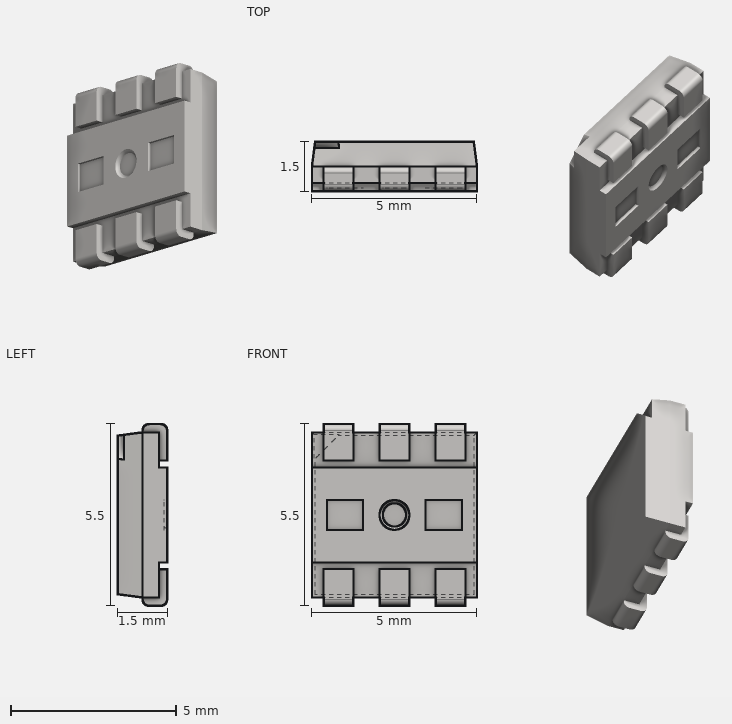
import cadquery as cq

body_size = 5.0
total_height = 5.5
total_depth = 1.5

base_depth = total_depth / 2
ledge_depth = 0.25
band_height = 2.88
recess_depth = 0.1

pocket_width = 1.1
pocket_height = 0.9
pocket_offset = 1.495
dimple_diameter = 0.9
dimple_floor_diameter = dimple_diameter - 2 * recess_depth

cover_depth = total_depth - base_depth
cover_inset = 0.1
corner_cut_leg = 0.9
corner_cut_depth = 0.2

lead_width = 0.9
lead_pitch = 1.695
leads_per_side = 3
lead_foot_height = 1.11
lead_bend_radius = 0.2

half_body = body_size / 2
half_height = total_height / 2


def box_on_face(width, height, depth, x=0, y=0, z=0):
    """Box centred on (x, z), reaching from y toward +Y."""
    return cq.Workplane("XY").box(width, depth, height).translate((x, y + depth / 2, z))


def make_base():
    base = box_on_face(body_size, body_size, base_depth - ledge_depth, y=ledge_depth)
    base = base.union(box_on_face(body_size, band_height, base_depth))
    for x in (-pocket_offset, pocket_offset):
        base = base.cut(box_on_face(pocket_width, pocket_height, recess_depth, x=x))
    dimple = cq.Solid.makeCone(
        dimple_diameter / 2,
        dimple_floor_diameter / 2,
        recess_depth,
        pnt=cq.Vector(0, 0, 0),
        dir=cq.Vector(0, 1, 0),
    )
    return base.cut(cq.Workplane(obj=dimple))


def make_cover():
    """Tapered block behind the base, with one corner cut off at its far end."""
    end_size = body_size - 2 * cover_inset
    cover = (
        cq.Workplane("XZ", origin=(0, base_depth, 0))
        .rect(body_size, body_size)
        .workplane(offset=-cover_depth)
        .rect(end_size, end_size)
        .loft(ruled=True)
    )
    corner_cut = (
        cq.Workplane("XZ", origin=(0, total_depth, 0))
        .moveTo(-half_body, half_body)
        .lineTo(-half_body + corner_cut_leg, half_body)
        .lineTo(-half_body, half_body - corner_cut_leg)
        .close()
        .extrude(corner_cut_depth)
    )
    return cover.cut(corner_cut)


def make_lead(x):
    """Upper lead: a foot on the ledge, bent back over the edge of the base."""
    foot_end = half_height - lead_foot_height
    lead = (
        cq.Workplane("YZ")
        .moveTo(0, foot_end)
        .lineTo(0, half_height)
        .lineTo(base_depth, half_height)
        .lineTo(base_depth, half_body)
        .lineTo(ledge_depth, half_body)
        .lineTo(ledge_depth, foot_end)
        .close()
        .extrude(lead_width / 2, both=True)
    )
    return lead.edges("|X and >Z").fillet(lead_bend_radius).translate((x, 0, 0))


def make_leads():
    leads = []
    for index in range(leads_per_side):
        x = (index - (leads_per_side - 1) / 2) * lead_pitch
        upper_lead = make_lead(x)
        lower_lead = upper_lead.mirror("XY")
        leads.append(upper_lead.solids().val())
        leads.append(lower_lead.solids().val())
    return leads


base = make_base()
cover = make_cover()
leads = make_leads()

result = cq.Compound.makeCompound([base.solids().val(), cover.solids().val(), *leads])